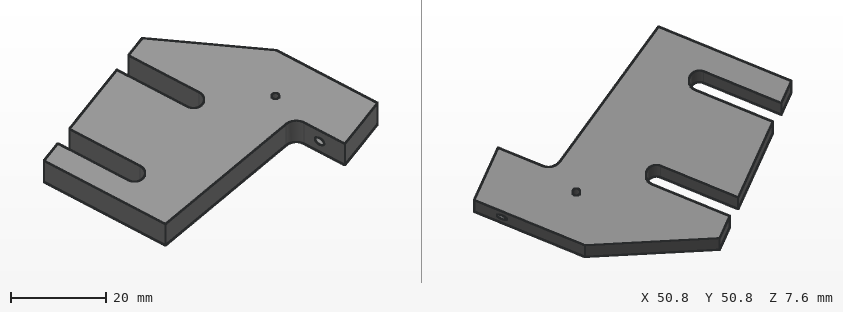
import cadquery as cq

side = 50.8
thickness = 7.6
arm_bottom = 38.1
slope_top_x = 25.4
base_width = 30.5
inner_corner_x = 38.1
inner_corner_radius = 3.05

slot_width = 4.45
slot_end_x = 20.0
slot_centers_y = (7.6, 30.5)

pin_hole_diameter = 1.65
pin_hole_x = 31.75
pin_hole_y = 40.65
arm_hole_diameter = 2.3
arm_hole_x = 44.45


def make_plate():
    outline = [
        (0, 0),
        (base_width, 0),
        (inner_corner_x, arm_bottom),
        (side, arm_bottom),
        (side, side),
        (slope_top_x, side),
        (0, arm_bottom),
    ]
    plate = cq.Workplane("XY").polyline(outline).close().extrude(thickness)
    inner_corner = cq.selectors.NearestToPointSelector((inner_corner_x, arm_bottom, thickness / 2))
    return plate.edges("|Z").edges(inner_corner).fillet(inner_corner_radius)


def make_slot(center_y):
    radius = slot_width / 2
    straight_length = slot_end_x - radius
    return (
        cq.Workplane("XY")
        .moveTo(0, center_y - radius)
        .lineTo(straight_length, center_y - radius)
        .threePointArc((slot_end_x, center_y), (straight_length, center_y + radius))
        .lineTo(0, center_y + radius)
        .close()
        .extrude(thickness)
    )


def make_pin_hole():
    return (
        cq.Workplane("XY")
        .center(pin_hole_x, pin_hole_y)
        .circle(pin_hole_diameter / 2)
        .extrude(thickness)
    )


def make_arm_hole():
    return (
        cq.Workplane("XZ")
        .center(arm_hole_x, thickness / 2)
        .circle(arm_hole_diameter / 2)
        .extrude(-side)
    )


result = make_plate()
for slot_center_y in slot_centers_y:
    result = result.cut(make_slot(slot_center_y))
result = result.cut(make_pin_hole()).cut(make_arm_hole())